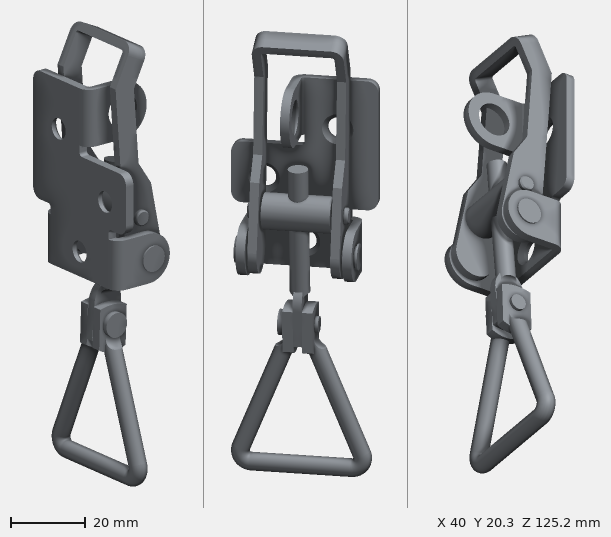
import cadquery as cq
import math

OVERALL_HEIGHT = 125.2
SHEET = 2.5
INNER_BEND = 0.8
OUTER_BEND = INNER_BEND + SHEET

BASE_WIDTH = 40.0
BASE_TOP = 53.6
STEP_TOP = 34.3
WING_BOTTOM = 17.0
NECK_HALF_WIDTH = 12.5
CORNER_RADIUS = 3.0
RELIEF_RADIUS = 1.0
SCREW_HOLE_DIAMETER = 6.0
COUNTERSINK_DEPTH = 1.3
EAR_HEIGHT = 14.1
EAR_REACH = 18.3
RING_HEIGHT = 16.3
RING_REACH = 20.3
RING_HOLE_DIAMETER = 9.6
EAR_OUTER_X = NECK_HALF_WIDTH + OUTER_BEND
SCREW_HOLES = [(-9.0, 39.4), (11.0, 24.4), (0, EAR_HEIGHT / 2)]

LEVER_HALF_WIDTH = 12.5
LEVER_INNER_X = LEVER_HALF_WIDTH - SHEET
LEVER_TILT = 4.2
LEVER_ARM_WIDTH = 6.1
HUB_RADIUS = LEVER_ARM_WIDTH
GRIP_BEND_HEIGHT = 49.8
GRIP_ANGLE = 30.0
ARM_START_HEIGHT = 26.5
SHOULDER = (3.8, 19.8)
PIVOT_Y = 12.1
PIVOT_Z = EAR_HEIGHT / 2

RIVET_RADIUS = 3.0
RIVET_HEAD_RADIUS = 3.6
RIVET_HEAD_GAP = 0.5
RIVET_HEAD_THICKNESS = 0.5

TRUNNION_Y = 10.8
TRUNNION_Z = 18.0
BARREL_RADIUS = 5.0
BARREL_HALF_LENGTH = 9.4
JOURNAL_RADIUS = 2.3
JOURNAL_END_X = 13.8
JOURNAL_CHAMFER = 0.4

PIN_Y = 8.1
PIN_Z = -14.1
PIN_RADIUS = 2.3
PIN_END_X = 5.1
PIN_HEAD_RADIUS = 3.5
PIN_HEAD_THICKNESS = 1.6

ROD_RADIUS = 2.8
ROD_TOP = 45.0
ROD_BOTTOM = 7.9
FLAT_FILLET = ROD_RADIUS - SHEET / 2
EYE_HALF_WIDTH = 4.5
EYE_MIDDLE_HALF_WIDTH = 4.0
EYE_NECK_HEIGHT = 10.1
EYE_MIDDLE_HEIGHT = 8.1
EYE_SIDE_TOP = 5.1
EYE_SIDE_BOTTOM = -5.0
EYE_BOTTOM = -5.9
ROD_TILT = -math.degrees(math.atan2(TRUNNION_Y - PIN_Y, TRUNNION_Z - PIN_Z))

CLEVIS_HALF_WIDTH = 4.1
CLEVIS_DEPTH = 9.0
CHEEK_SIDE_TOP = 4.8
CHEEK_TOP = 5.5
CHEEK_SIDE_BOTTOM = -6.8
CHEEK_BOTTOM = -8.0
LOOP_TILT = -2.0
WIRE_RADIUS = 2.5
WIRE_BEND = 3.0
BAR_HALF_LENGTH = 13.6
BAR_HEIGHT = -40.5
LEG_ANGLE = 22.2
LEG_TOP = -2.9
LEG_FILLET = 3.0
LEG_FILLET_TOP = -3.5


LOOP_BOTTOM_Z = PIN_Z + BAR_HEIGHT * math.cos(math.radians(LOOP_TILT)) - WIRE_RADIUS
GRIP_BEND_Z = (
    PIVOT_Z
    + GRIP_BEND_HEIGHT * math.cos(math.radians(LEVER_TILT))
    - LEVER_ARM_WIDTH * math.sin(math.radians(LEVER_TILT))
)
GRIP_RISE = LOOP_BOTTOM_Z + OVERALL_HEIGHT - GRIP_BEND_Z
GRIP_LENGTH = GRIP_RISE / math.cos(math.radians(GRIP_ANGLE - LEVER_TILT))


def x_cylinder(radius, x_start, x_end, y=0, z=0):
    """Cylinder along X between two X places."""
    length = x_end - x_start
    return cq.Workplane("YZ", origin=(x_start, 0, 0)).center(y, z).circle(radius).extrude(length)


def flange(bend_x, side, bottom, height, reach):
    """Sheet bent back from the plate at bend_x towards side (+1 or -1), with a full round end."""
    outer_x = bend_x + side * OUTER_BEND
    inner_x = bend_x + side * INNER_BEND
    diagonal = math.sqrt(0.5)
    sheet = (
        cq.Workplane("XY", origin=(0, 0, bottom))
        .moveTo(bend_x, 0)
        .threePointArc(
            (bend_x + side * OUTER_BEND * diagonal, OUTER_BEND * (1 - diagonal)),
            (outer_x, OUTER_BEND),
        )
        .lineTo(outer_x, reach)
        .lineTo(inner_x, reach)
        .lineTo(inner_x, OUTER_BEND)
        .threePointArc(
            (bend_x + side * INNER_BEND * diagonal, OUTER_BEND - INNER_BEND * diagonal),
            (bend_x, SHEET),
        )
        .close()
        .extrude(height)
    )
    radius = height / 2
    round_end = (
        cq.Workplane("YZ", origin=(bend_x, 0, bottom))
        .lineTo(reach - radius, 0)
        .threePointArc((reach, radius), (reach - radius, height))
        .lineTo(0, height)
        .close()
        .extrude(OUTER_BEND, both=True)
    )
    return sheet.intersect(round_end)


def make_base():
    half = BASE_WIDTH / 2
    outline = [
        (-NECK_HALF_WIDTH, 0),
        (NECK_HALF_WIDTH, 0),
        (NECK_HALF_WIDTH, WING_BOTTOM),
        (half, WING_BOTTOM),
        (half, STEP_TOP),
        (0, STEP_TOP),
        (0, BASE_TOP),
        (-half, BASE_TOP),
        (-half, WING_BOTTOM),
        (-NECK_HALF_WIDTH, WING_BOTTOM),
    ]
    base = cq.Workplane("XZ").polyline(outline).close().extrude(-SHEET)

    base = base.edges("|Y and (>X or <X)").fillet(CORNER_RADIUS)
    for x, z in [(-NECK_HALF_WIDTH, WING_BOTTOM), (NECK_HALF_WIDTH, WING_BOTTOM), (0, STEP_TOP)]:
        corner = base.edges(cq.selectors.NearestToPointSelector((x, SHEET / 2, z)))
        base = corner.fillet(RELIEF_RADIUS)

    for side in (-1, 1):
        base = base.union(flange(side * NECK_HALF_WIDTH, side, 0, EAR_HEIGHT, EAR_REACH))

    ring_bottom = BASE_TOP - RING_HEIGHT
    base = base.union(flange(0, 1, ring_bottom, RING_HEIGHT, RING_REACH))
    ring_radius = RING_HEIGHT / 2
    ring_y = RING_REACH - ring_radius
    ring_z = BASE_TOP - ring_radius
    base = base.cut(x_cylinder(RING_HOLE_DIAMETER / 2, 0, OUTER_BEND, ring_y, ring_z))

    hole_radius = SCREW_HOLE_DIAMETER / 2
    cone = cq.Solid.makeCone(
        hole_radius + COUNTERSINK_DEPTH,
        hole_radius,
        COUNTERSINK_DEPTH,
        cq.Vector(0, SHEET, 0),
        cq.Vector(0, -1, 0),
    )
    screw_hole = x_cylinder(hole_radius, 0, SHEET).rotate((0, 0, 0), (0, 0, 1), 90).union(cone)
    for x, z in SCREW_HOLES:
        base = base.cut(screw_hole.translate((x, 0, z)))
    return base.cut(x_cylinder(RIVET_RADIUS, -EAR_OUTER_X, EAR_OUTER_X, PIVOT_Y, PIVOT_Z))


def make_lever():
    angle = math.radians(GRIP_ANGLE)
    along = (math.sin(angle), math.cos(angle))
    across = (math.cos(angle), -math.sin(angle))
    front_y = -LEVER_ARM_WIDTH
    grip_front = (front_y + GRIP_LENGTH * along[0], GRIP_BEND_HEIGHT + GRIP_LENGTH * along[1])
    grip_back = (
        grip_front[0] + LEVER_ARM_WIDTH * across[0],
        grip_front[1] + LEVER_ARM_WIDTH * across[1],
    )
    inner_bend_height = GRIP_BEND_HEIGHT - LEVER_ARM_WIDTH * math.tan(angle / 2)
    shoulder_angle = math.atan2(SHOULDER[1], SHOULDER[0])
    tangent_angle = shoulder_angle - math.acos(HUB_RADIUS / math.hypot(*SHOULDER))
    tangent = (HUB_RADIUS * math.cos(tangent_angle), HUB_RADIUS * math.sin(tangent_angle))
    lever = (
        cq.Workplane("YZ")
        .moveTo(front_y, 0)
        .lineTo(front_y, GRIP_BEND_HEIGHT)
        .lineTo(*grip_front)
        .lineTo(*grip_back)
        .lineTo(0, inner_bend_height)
        .lineTo(0, ARM_START_HEIGHT)
        .lineTo(*SHOULDER)
        .lineTo(*tangent)
        .threePointArc((0, -HUB_RADIUS), (front_y, 0))
        .close()
        .extrude(LEVER_HALF_WIDTH, both=True)
    )

    grip_middle = [(front + back) / 2 for front, back in zip(grip_front, grip_back)]
    for side in (-1, 1):
        place = (side * LEVER_HALF_WIDTH, grip_middle[0], grip_middle[1])
        lever = lever.edges(cq.selectors.NearestToPointSelector(place)).fillet(OUTER_BEND)

    grip_plane = cq.Plane(
        origin=(0, grip_middle[0], grip_middle[1]), xDir=(1, 0, 0), normal=(0, -across[0], -across[1])
    )
    open_length = 2 * GRIP_BEND_HEIGHT
    opening = (
        cq.Workplane(grip_plane)
        .center(0, -SHEET - open_length / 2)
        .rect(2 * LEVER_INNER_X, open_length)
        .extrude(GRIP_BEND_HEIGHT, both=True)
        .edges(cq.selectors.ParallelDirSelector(grip_plane.zDir))
        .fillet(INNER_BEND)
    )
    lever = lever.cut(opening)
    lever = lever.rotate((0, 0, 0), (1, 0, 0), LEVER_TILT).translate((0, PIVOT_Y, PIVOT_Z))

    width = LEVER_HALF_WIDTH
    lever = lever.cut(x_cylinder(RIVET_RADIUS, -width, width, PIVOT_Y, PIVOT_Z))
    return lever.cut(x_cylinder(JOURNAL_RADIUS, -width, width, TRUNNION_Y, TRUNNION_Z))


def make_rivet(side):
    """Short rivet through one ear and one lever side; side is +1 or -1."""
    head_start = EAR_OUTER_X + RIVET_HEAD_GAP
    shank = x_cylinder(RIVET_RADIUS, LEVER_INNER_X, head_start, PIVOT_Y, PIVOT_Z)
    head = x_cylinder(RIVET_HEAD_RADIUS, head_start, head_start + RIVET_HEAD_THICKNESS, PIVOT_Y, PIVOT_Z)
    rivet = shank.union(head)
    return rivet if side > 0 else rivet.mirror("YZ")


def make_trunnion():
    journals = x_cylinder(JOURNAL_RADIUS, -JOURNAL_END_X, JOURNAL_END_X)
    journals = journals.faces("<X or >X").chamfer(JOURNAL_CHAMFER)
    barrel = x_cylinder(BARREL_RADIUS, -BARREL_HALF_LENGTH, BARREL_HALF_LENGTH)
    trunnion = journals.union(barrel)
    rod_hole = cq.Workplane("XY").circle(ROD_RADIUS).extrude(2 * BARREL_RADIUS, both=True)
    trunnion = trunnion.cut(rod_hole.rotate((0, 0, 0), (1, 0, 0), ROD_TILT))
    return trunnion.translate((0, TRUNNION_Y, TRUNNION_Z))


def make_eye_rod():
    rod = cq.Workplane("XY", origin=(0, 0, ROD_BOTTOM)).circle(ROD_RADIUS).extrude(ROD_TOP - ROD_BOTTOM)

    for side in (-1, 1):
        run_out = (
            cq.Workplane("XZ")
            .center(side * ROD_RADIUS, ROD_BOTTOM)
            .circle(FLAT_FILLET)
            .extrude(ROD_RADIUS, both=True)
        )
        rod = rod.cut(run_out)

    eye = (
        cq.Workplane("YZ", origin=(-SHEET / 2, 0, 0))
        .moveTo(-ROD_RADIUS, EYE_NECK_HEIGHT)
        .threePointArc((-EYE_MIDDLE_HALF_WIDTH, EYE_MIDDLE_HEIGHT), (-EYE_HALF_WIDTH, EYE_SIDE_TOP))
        .lineTo(-EYE_HALF_WIDTH, EYE_SIDE_BOTTOM)
        .threePointArc((0, EYE_BOTTOM), (EYE_HALF_WIDTH, EYE_SIDE_BOTTOM))
        .lineTo(EYE_HALF_WIDTH, EYE_SIDE_TOP)
        .threePointArc((EYE_MIDDLE_HALF_WIDTH, EYE_MIDDLE_HEIGHT), (ROD_RADIUS, EYE_NECK_HEIGHT))
        .close()
        .extrude(SHEET)
    )
    eye_rod = rod.union(eye).cut(x_cylinder(PIN_RADIUS, -SHEET, SHEET))
    return eye_rod.rotate((0, 0, 0), (1, 0, 0), ROD_TILT).translate((0, PIN_Y, PIN_Z))


def make_clevis_pin():
    shank = x_cylinder(PIN_RADIUS, -PIN_END_X, CLEVIS_HALF_WIDTH, PIN_Y, PIN_Z)
    head_end = CLEVIS_HALF_WIDTH + PIN_HEAD_THICKNESS
    return shank.union(x_cylinder(PIN_HEAD_RADIUS, CLEVIS_HALF_WIDTH, head_end, PIN_Y, PIN_Z))


def make_pull_loop():
    angle = math.radians(LEG_ANGLE)
    bend_height = BAR_HEIGHT + WIRE_BEND
    leg_x = BAR_HALF_LENGTH + WIRE_BEND * math.cos(angle)
    leg_bottom = bend_height + WIRE_BEND * math.sin(angle)
    leg_top_x = leg_x - (LEG_TOP - leg_bottom) * math.tan(angle)
    middle_angle = (angle - math.pi / 2) / 2
    middle_x = BAR_HALF_LENGTH + WIRE_BEND * math.cos(middle_angle)
    middle_z = bend_height + WIRE_BEND * math.sin(middle_angle)
    path = (
        cq.Workplane("XZ")
        .moveTo(-leg_top_x, LEG_TOP)
        .lineTo(-leg_x, leg_bottom)
        .threePointArc((-middle_x, middle_z), (-BAR_HALF_LENGTH, BAR_HEIGHT))
        .lineTo(BAR_HALF_LENGTH, BAR_HEIGHT)
        .threePointArc((middle_x, middle_z), (leg_x, leg_bottom))
        .lineTo(leg_top_x, LEG_TOP)
    )
    start = cq.Plane(
        origin=(-leg_top_x, 0, LEG_TOP),
        xDir=(-math.cos(angle), 0, math.sin(angle)),
        normal=(-math.sin(angle), 0, -math.cos(angle)),
    )
    loop = cq.Workplane(start).circle(WIRE_RADIUS).sweep(path)

    for side in (-1, 1):
        hollow = (
            cq.Workplane("XZ")
            .center(side * (CLEVIS_HALF_WIDTH + LEG_FILLET), LEG_FILLET_TOP)
            .moveTo(-LEG_FILLET, LEG_FILLET)
            .lineTo(-LEG_FILLET, 0)
            .threePointArc((0, -LEG_FILLET), (LEG_FILLET, 0))
            .lineTo(LEG_FILLET, LEG_FILLET)
            .close()
            .extrude(WIRE_RADIUS, both=True)
        )
        loop = loop.cut(hollow)

    half_depth = CLEVIS_DEPTH / 2
    cheeks = (
        cq.Workplane("YZ")
        .moveTo(-half_depth, CHEEK_SIDE_BOTTOM)
        .lineTo(-half_depth, CHEEK_SIDE_TOP)
        .threePointArc((0, CHEEK_TOP), (half_depth, CHEEK_SIDE_TOP))
        .lineTo(half_depth, CHEEK_SIDE_BOTTOM)
        .threePointArc((0, CHEEK_BOTTOM), (-half_depth, CHEEK_SIDE_BOTTOM))
        .close()
        .extrude(CLEVIS_HALF_WIDTH, both=True)
    )
    slot_length = 2 * CLEVIS_DEPTH
    slot = cq.Workplane("XY").box(SHEET, CLEVIS_DEPTH, slot_length)
    loop = loop.union(cheeks).cut(slot)
    loop = loop.cut(x_cylinder(PIN_RADIUS, -CLEVIS_HALF_WIDTH, CLEVIS_HALF_WIDTH))
    return loop.rotate((0, 0, 0), (1, 0, 0), LOOP_TILT).translate((0, PIN_Y, PIN_Z))


base = make_base()
lever = make_lever()
rivets = [make_rivet(side) for side in (-1, 1)]
trunnion = make_trunnion()
eye_rod = make_eye_rod()
clevis_pin = make_clevis_pin()
pull_loop = make_pull_loop()

result = cq.Compound.makeCompound(
    [
        base.val(),
        lever.val(),
        *[rivet.val() for rivet in rivets],
        trunnion.val(),
        eye_rod.val(),
        clevis_pin.val(),
        pull_loop.val(),
    ]
)